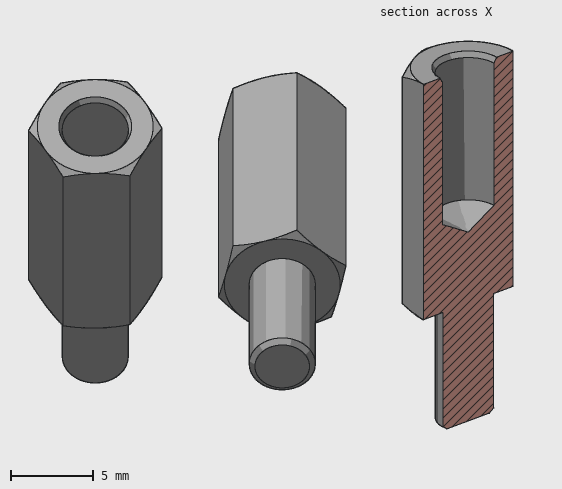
import cadquery as cq
import math

across_flats = 7.0
across_corners = across_flats * 2 / math.sqrt(3)
body_length = 16.0
corner_chamfer_angle = 30.0

thread_diameter = 4.0
stud_length = 8.0
stud_chamfer_width = 0.35
stud_chamfer_height = 0.25

hole_depth = 10.0
drill_point_angle = 120.0
hole_chamfer_width = 0.2
hole_chamfer_angle = 60.0


def chamfer_height(width, angle):
    """Axial height of a chamfer of the given radial width and angle from the end face."""
    return width * math.tan(math.radians(angle))


def revolved(profile):
    """Close a profile of (radius, z) points and turn it about the Z axis."""
    return cq.Workplane("XZ").polyline(profile).close().revolve(360, (0, 0, 0), (0, 1, 0))


def hexagonal_body():
    """Hexagonal prism whose corners are turned down to a cone at both ends."""
    prism = cq.Workplane("XY").polygon(6, across_corners).extrude(body_length)
    face_radius = across_flats / 2
    corner_radius = across_corners / 2
    corner_drop = chamfer_height(corner_radius - face_radius, corner_chamfer_angle)
    turned_envelope = revolved([
        (0, 0),
        (face_radius, 0),
        (corner_radius, corner_drop),
        (corner_radius, body_length - corner_drop),
        (face_radius, body_length),
        (0, body_length),
    ])
    return prism.intersect(turned_envelope)


def stud():
    """Round stud hanging from the body, chamfered at its free end."""
    radius = thread_diameter / 2
    return revolved([
        (0, 0),
        (0, -stud_length),
        (radius - stud_chamfer_width, -stud_length),
        (radius, stud_chamfer_height - stud_length),
        (radius, 0),
    ])


def blind_hole():
    """Drilled hole with a conical bottom and a chamfered mouth."""
    radius = thread_diameter / 2
    point_depth = radius / math.tan(math.radians(drill_point_angle / 2))
    cone_start = body_length - hole_depth
    mouth_start = body_length - chamfer_height(hole_chamfer_width, hole_chamfer_angle)
    return revolved([
        (0, cone_start - point_depth),
        (radius, cone_start),
        (radius, mouth_start),
        (radius + hole_chamfer_width, body_length),
        (0, body_length),
    ])


result = hexagonal_body().union(stud()).cut(blind_hole())